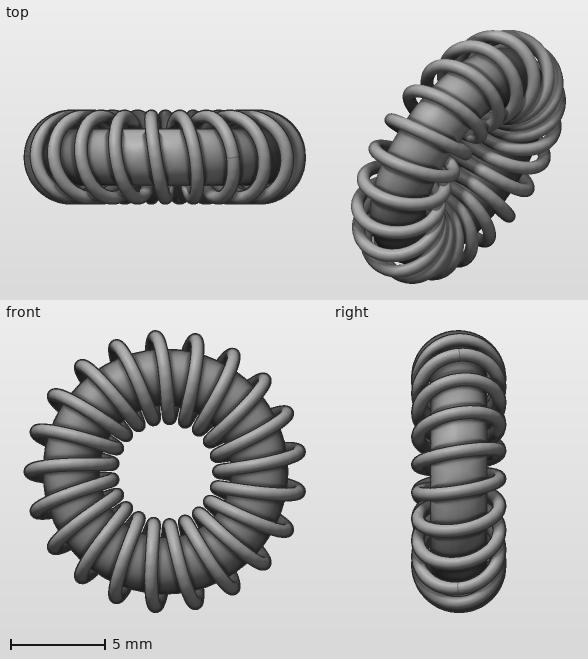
import cadquery as cq
import math

ring_radius = 5.0
core_radius = 1.5

coil_outer_radius = 2.5
wire_radius = 0.35
turn_count = 21
stretch_count = 3
points_per_turn = 24
coil_radius = coil_outer_radius - wire_radius


def wire_centre(travel):
    """Wire centre after a fraction of the way round the ring, starting outermost at -X."""
    ring_angle = math.pi - 2 * math.pi * travel
    turn_angle = 2 * math.pi * turn_count * travel
    distance = ring_radius + coil_radius * math.cos(turn_angle)
    return cq.Vector(
        distance * math.cos(ring_angle),
        -coil_radius * math.sin(turn_angle),
        distance * math.sin(ring_angle),
    )


def make_core():
    """Solid ring around the Y axis."""
    return (
        cq.Workplane("XY")
        .center(ring_radius, 0)
        .circle(core_radius)
        .revolve(360, (-ring_radius, 0), (-ring_radius, 1))
    )


def make_centreline():
    """Closed toroidal helix along the middle of the wire."""
    point_count = turn_count * points_per_turn
    points = [wire_centre(i / point_count) for i in range(point_count)]
    return cq.Edge.makeSpline(points, periodic=True)


def make_wire_surfaces(stretch):
    """Outer surface of the round wire along one stretch, without end caps."""
    section_plane = cq.Plane(origin=stretch.startPoint(), normal=stretch.tangentAt(0))
    path = cq.Wire.assembleEdges([stretch])
    swept = cq.Workplane(section_plane).circle(wire_radius).sweep(path, isFrenet=True)
    return swept.faces("not %PLANE").vals()


def make_coil():
    """Endless wire, made in stretches that join end to end around the ring."""
    centreline = make_centreline()
    breaks = [centreline.paramAt(i / stretch_count) for i in range(stretch_count)]
    breaks.append(breaks[0] + centreline.paramAt(1.0) - centreline.paramAt(0.0))
    surfaces = []
    for start, end in zip(breaks, breaks[1:]):
        surfaces += make_wire_surfaces(centreline.trim(start, end))
    return cq.Workplane(cq.Solid.makeSolid(cq.Shell.makeShell(surfaces)))


core = make_core()
coil = make_coil()
result = cq.Compound.makeCompound([core.val(), coil.val()])